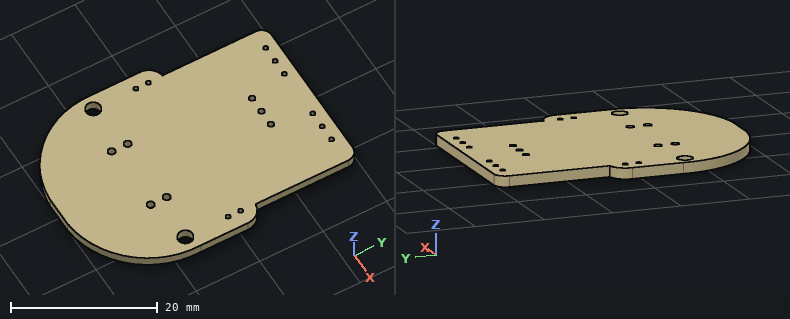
import cadquery as cq

length = 40.1
width = 29.4
thickness = 1.6
half_length = length / 2
half_width = width / 2

upper_left = -12.67
upper_right = 12.47
upper_corner_radius = 1.65

shoulder_top = 3.75
shoulder_bottom = 1.25
shoulder_radius = 2.5

lower_arc_start = -6.2
lower_flat_half_width = 2.4
lower_arc_radius = 13.25

pin_pitch = 2.53
pin_center_x = -0.65
header_hole_diameter = 0.7
header_y = 18.2
header_offset = 6.38
middle_hole_diameter = 0.9
middle_row_y = 12.35
side_center_x = -0.1
side_offset = 12.47
side_hole_ys = (1.45, -0.52)
mount_diameter = 2.2
mount_y = -7.25
pad_diameter = 1.1
left_pad_x = -5.1
left_pad_top_y = -6.18
right_pad_x = 5.35
right_pad_top_y = -6.1


def plate():
    """Flat plate with a narrow upper section and a rounded lower end."""
    outline = (
        cq.Workplane("XY", origin=(0, 0, -thickness / 2))
        .moveTo(upper_left, half_length)
        .lineTo(upper_right, half_length)
        .lineTo(upper_right, shoulder_top)
        .radiusArc((half_width, shoulder_bottom), shoulder_radius)
        .lineTo(half_width, lower_arc_start)
        .radiusArc((lower_flat_half_width, -half_length), lower_arc_radius)
        .lineTo(-lower_flat_half_width, -half_length)
        .radiusArc((-half_width, lower_arc_start), lower_arc_radius)
        .lineTo(-half_width, shoulder_bottom)
        .radiusArc((upper_left, shoulder_top), shoulder_radius)
        .close()
    )
    body = outline.extrude(thickness)
    return body.faces(">Y").edges("|Z").fillet(upper_corner_radius)


def drill(body, centers, diameter):
    """Cut round holes through the full thickness."""
    cutters = (
        cq.Workplane("XY", origin=(0, 0, -thickness))
        .pushPoints(centers)
        .circle(diameter / 2)
        .extrude(2 * thickness)
    )
    return body.cut(cutters)


def three_pins(center_x, y):
    """Centres of a row of three evenly spaced holes."""
    return [(center_x + step * pin_pitch, y) for step in (-1, 0, 1)]


def pin_pair(x, top_y):
    """Centres of two holes, one above the other."""
    return [(x, top_y), (x, top_y - pin_pitch)]


result = plate()

for side in (-1, 1):
    result = drill(result, three_pins(pin_center_x + side * header_offset, header_y), header_hole_diameter)
result = drill(result, three_pins(pin_center_x, middle_row_y), middle_hole_diameter)

for side in (-1, 1):
    side_x = side_center_x + side * side_offset
    result = drill(result, [(side_x, y) for y in side_hole_ys], header_hole_diameter)
    result = drill(result, [(side_x, mount_y)], mount_diameter)

result = drill(result, pin_pair(left_pad_x, left_pad_top_y), pad_diameter)
result = drill(result, pin_pair(right_pad_x, right_pad_top_y), pad_diameter)